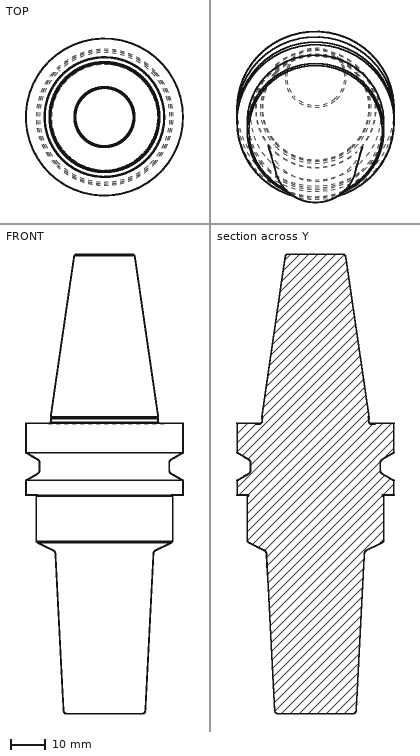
import cadquery as cq
import math


GAUGE_RADIUS = 15.875
TAPER_RATIO = 7 / 24
SHANK_TOP_Z = 48.4
SHANK_CHAMFER_WIDTH = 0.4
SHANK_CHAMFER_HEIGHT = 0.5

TAPER_FOOT_Z = 0.95
RELIEF_RADIUS = 15.5
RELIEF_Z = 0.6
COLLAR_TOP_Z = 0.25
COLLAR_RADIUS = 15.7
COLLAR_FOOT_FLARE = 0.5

FLANGE_RADIUS = 23.0
FLANGE_TOP_Z = -1.0
FLANGE_BOTTOM_Z = -22.0
GROOVE_TOP_Z = -9.65
GROOVE_BOTTOM_Z = -17.75
GROOVE_RADIUS = 19.0
GROOVE_FLANK_ANGLE = 30.0
GROOVE_FILLET = 1.0

RECESS_FLOOR_RADIUS = 17.4
RECESS_DEPTH = 0.2

BODY_RADIUS = 20.0
BODY_BOTTOM_Z = -36.0
BODY_TOP_CHAMFER = 0.4
BODY_BOTTOM_CHAMFER = 0.5
SHOULDER_FOOT_Z = -38.5
SHOULDER_FILLET = 1.0

NOSE_TOP_RADIUS = 14.4
NOSE_BOTTOM_RADIUS = 11.95
NOSE_BOTTOM_Z = -86.0
NOSE_END_FILLET = 1.0


def taper_radius(z):
    """Radius of the 7/24 taper at height z."""
    return GAUGE_RADIUS - z * TAPER_RATIO / 2


def revolve_profile(points):
    """Turn a closed (radius, height) outline about the Z axis."""
    return cq.Workplane("XZ").polyline(points).close().revolve(360, (0, 0, 0), (0, 1, 0))


def turned_blank():
    """Whole holder as one turned profile, with a plain cylindrical flange."""
    shank_chamfer_foot_z = SHANK_TOP_Z - SHANK_CHAMFER_HEIGHT
    recess_floor_z = FLANGE_TOP_Z - RECESS_DEPTH
    shank = [
        (0, SHANK_TOP_Z),
        (taper_radius(SHANK_TOP_Z) - SHANK_CHAMFER_WIDTH, SHANK_TOP_Z),
        (taper_radius(shank_chamfer_foot_z), shank_chamfer_foot_z),
        (taper_radius(TAPER_FOOT_Z), TAPER_FOOT_Z),
        (RELIEF_RADIUS, RELIEF_Z),
        (COLLAR_RADIUS, COLLAR_TOP_Z),
        (COLLAR_RADIUS, recess_floor_z + COLLAR_FOOT_FLARE),
        (COLLAR_RADIUS + COLLAR_FOOT_FLARE, recess_floor_z),
    ]
    flange = [
        (RECESS_FLOOR_RADIUS, recess_floor_z),
        (RECESS_FLOOR_RADIUS + RECESS_DEPTH, FLANGE_TOP_Z),
        (FLANGE_RADIUS, FLANGE_TOP_Z),
        (FLANGE_RADIUS, FLANGE_BOTTOM_Z),
    ]
    body = [
        (BODY_RADIUS - BODY_TOP_CHAMFER, FLANGE_BOTTOM_Z),
        (BODY_RADIUS, FLANGE_BOTTOM_Z - BODY_TOP_CHAMFER),
        (BODY_RADIUS, BODY_BOTTOM_Z + BODY_BOTTOM_CHAMFER),
        (BODY_RADIUS - BODY_BOTTOM_CHAMFER, BODY_BOTTOM_Z),
    ]
    nose = [
        (NOSE_TOP_RADIUS, SHOULDER_FOOT_Z),
        (NOSE_BOTTOM_RADIUS, NOSE_BOTTOM_Z),
        (0, NOSE_BOTTOM_Z),
    ]
    blank = revolve_profile(shank + flange + body + nose)
    blank = blank.faces("<Z").edges().fillet(NOSE_END_FILLET)
    shoulder_foot = cq.selectors.NearestToPointSelector((0, 0, SHOULDER_FOOT_Z))
    return blank.edges("%CIRCLE").edges(shoulder_foot).fillet(SHOULDER_FILLET)


def gripper_groove():
    """Ring cutter for the V-groove, with its two floor corners rounded."""
    flank_drop = (FLANGE_RADIUS - GROOVE_RADIUS) * math.tan(math.radians(GROOVE_FLANK_ANGLE))
    ring = revolve_profile([
        (FLANGE_RADIUS, GROOVE_TOP_Z),
        (GROOVE_RADIUS, GROOVE_TOP_Z - flank_drop),
        (GROOVE_RADIUS, GROOVE_BOTTOM_Z + flank_drop),
        (FLANGE_RADIUS, GROOVE_BOTTOM_Z),
    ])
    floor_edges = cq.selectors.RadiusNthSelector(0)
    return ring.edges(floor_edges).fillet(GROOVE_FILLET)


result = turned_blank().cut(gripper_groove())